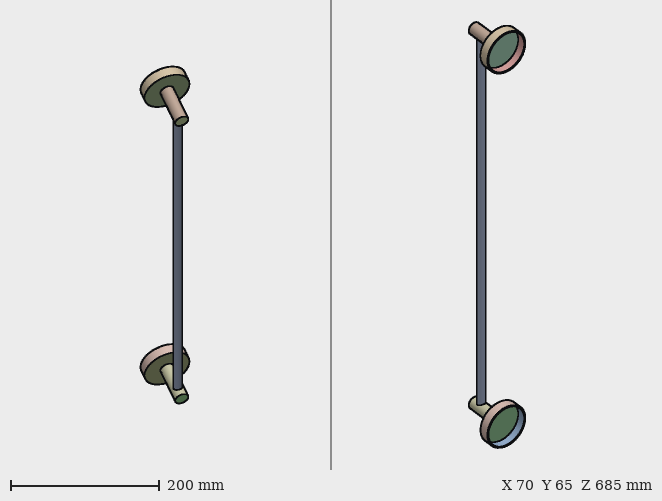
import cadquery as cq

total_height = 685.0
total_depth = 70.0

cup_diameter = 65.0
cup_depth = 15.0
cup_wall = 2.0
cup_floor = 2.0

post_diameter = 19.0
post_length = total_depth - cup_depth

rail_diameter = 12.0
rail_x = 55.0

post_height = (total_height - cup_diameter) / 2


def make_cup(z):
    """Round cup along X with its open rim at x = 0."""
    rim_plane = cq.Workplane("YZ", origin=(0, 0, z))
    body = rim_plane.circle(cup_diameter / 2).extrude(cup_depth)
    cavity = rim_plane.circle(cup_diameter / 2 - cup_wall).extrude(cup_depth - cup_floor)
    return body.cut(cavity)


def make_post(z):
    """Round post along X, starting at the outer face of the cup."""
    return cq.Workplane("YZ", origin=(cup_depth, 0, z)).circle(post_diameter / 2).extrude(post_length)


def make_rail(end_posts):
    """Round bar whose ends are hollowed to fit against the sides of the posts."""
    rail = (
        cq.Workplane("XY", origin=(rail_x, 0, -post_height))
        .circle(rail_diameter / 2)
        .extrude(2 * post_height)
    )
    for post in end_posts:
        rail = rail.cut(post)
    return rail


cups = []
posts = []
for axis_z in (-post_height, post_height):
    cups.append(make_cup(axis_z))
    posts.append(make_post(axis_z))

rail = make_rail(posts)

result = cq.Compound.makeCompound(
    [cup.val() for cup in cups] + [post.val() for post in posts] + rail.solids().vals()
)